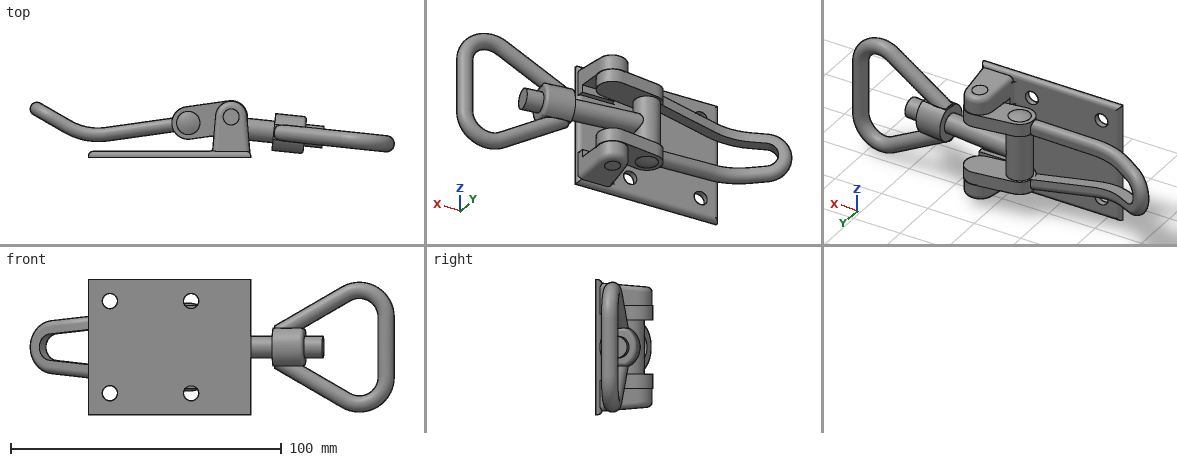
import cadquery as cq
import math

overall_length = 134.5
handle_tip_x = -21.5

plate_length = 60.0
plate_height = 50.0
plate_thickness = 2.4
plate_edge_radius = 1.9
hole_diameter = 5.5
hole_first_x = 8.0
hole_spacing_x = 30.0
hole_spacing_z = 34.0

pivot_x = 52.7
pivot_y = 15.0
pivot_radius = 3.0
ear_radius = 5.8
ear_side_taper = 5.0
ear_foot_z = 12.2
ear_step_y = 4.5
ear_outer_z = 23.8
ear_outer_draft = 4.8
ear_edge_radius = 2.0
ear_root_radius = 1.1

cheek_inner_z = 10.0
cheek_outer_z = 15.3
cheek_radius = 6.0
lever_tilt = 8.0
trunnion_distance = 16.0
bar_width = 5.0
bend_x = -1.1
bend_y = 7.7
bend_radius = 22.9
tip_tilt = 30.0
arm_splay = 6.5
tip_radius = 7.4
arm_end_x = 32.0

bolt_tilt = 6.0
trunnion_radius = 4.3
trunnion_dome_height = 1.0
barrel_radius = 5.1
bolt_radius = 4.0
bolt_length = 50.0

nut_start = 31.7
nut_length = 11.5
nut_side_z = 7.0
nut_side_half_width = 2.8
nut_crest_y = 6.9
nut_crest_half_width = 0.47
nut_corner_radius = 7.3
nut_edge_radius = 1.2

wire_diameter = 6.0
loop_corner_z = 11.0
loop_corner_radius = 10.0
loop_arm_angle = 30.0
loop_arm_start = 33.5

trunnion_x = pivot_x - trunnion_distance * math.cos(math.radians(lever_tilt))
trunnion_y = pivot_y - trunnion_distance * math.sin(math.radians(lever_tilt))

ear_base_y = plate_thickness - plate_edge_radius

loop_bar_x = handle_tip_x + overall_length - wire_diameter / 2
loop_bar_distance = (loop_bar_x - trunnion_x) / math.cos(math.radians(bolt_tilt))


def outside_ears():
    """Space beyond the drafted outer face of the upper ear."""
    ear_top_y = pivot_y + 2 * ear_radius
    draft = (ear_top_y - ear_base_y) * math.tan(math.radians(ear_outer_draft))
    return (
        cq.Workplane("YZ")
        .moveTo(ear_base_y, ear_outer_z)
        .lineTo(ear_top_y, ear_outer_z - draft)
        .lineTo(ear_top_y, plate_height)
        .lineTo(ear_base_y, plate_height)
        .close()
        .extrude(plate_length)
    )


def mirrored(half):
    """A shape together with its reflection in the XY plane."""
    return half.union(half.mirror("XY"))


def make_ear():
    taper = math.radians(ear_side_taper)
    tangent_x = ear_radius * math.cos(taper)
    tangent_y = pivot_y + ear_radius * math.sin(taper)
    base_half_width = tangent_x + (tangent_y - ear_base_y) * math.tan(taper)
    foot_half_width = tangent_x + (tangent_y - plate_thickness) * math.tan(taper)
    ear = (
        cq.Workplane("XY", origin=(pivot_x, 0, ear_foot_z))
        .moveTo(-base_half_width, ear_base_y)
        .lineTo(-tangent_x, tangent_y)
        .threePointArc((0, pivot_y + ear_radius), (tangent_x, tangent_y))
        .lineTo(base_half_width, ear_base_y)
        .close()
        .extrude(plate_height / 2 - ear_foot_z)
        .cut(outside_ears())
    )
    ear = ear.faces(">Z").edges("not <Y").fillet(ear_edge_radius)

    cheek_clearance = (
        cq.Workplane("XY", origin=(pivot_x, ear_step_y, ear_foot_z))
        .rect(4 * ear_radius, plate_height, centered=(True, False))
        .extrude(cheek_outer_z - ear_foot_z)
    )
    pivot_hole = (
        cq.Workplane("XY", origin=(pivot_x, pivot_y, 0)).circle(pivot_radius).extrude(plate_height)
    )
    root = make_ear_root(pivot_x - foot_half_width)
    return ear.cut(cheek_clearance).cut(pivot_hole).union(root)


def make_ear_root(foot_left_x):
    """Concave strip where the left side of the ear meets the plate."""
    r = ear_root_radius
    slope = r * math.tan(math.radians(ear_side_taper))
    mid = r * (1 - math.sqrt(0.5))
    return (
        cq.Workplane("XY", origin=(foot_left_x, plate_thickness, ear_foot_z))
        .lineTo(-r, 0)
        .threePointArc((-mid, mid), (slope, r))
        .close()
        .extrude(ear_outer_z - ear_edge_radius - ear_foot_z)
    )


def make_base():
    plate = (
        cq.Workplane("XY")
        .box(plate_length, plate_thickness, plate_height, centered=(False, False, True))
        .faces(">Y")
        .edges()
        .fillet(plate_edge_radius)
    )
    hole_center_x = hole_first_x + hole_spacing_x / 2
    holes = (
        cq.Workplane("XZ", origin=(hole_center_x, 0, 0))
        .rarray(hole_spacing_x, hole_spacing_z, 2, 2)
        .circle(hole_diameter / 2)
        .extrude(-plate_thickness)
    )
    return plate.cut(holes).union(mirrored(make_ear()))


def make_handle():
    """Half of the handle bar swept from the middle of its tip to the cheek, then mirrored."""
    tip_angle = math.radians(tip_tilt)
    arm_angle = math.radians(lever_tilt)
    splay = math.tan(math.radians(arm_splay))
    to_tip = cq.Vector(-math.cos(tip_angle), math.sin(tip_angle), 0)
    across = cq.Vector(0, 0, 1)

    tip_side = cq.Vector(to_tip.x, to_tip.y, to_tip.x * splay).normalized()
    arm_side = cq.Vector(1, math.tan(arm_angle), splay).normalized()

    side_angle = math.asin(-tip_side.z)
    tip_reach = (bend_x - handle_tip_x - bar_width / 2) / math.cos(tip_angle)
    center_distance = tip_reach - tip_radius
    bend_z = center_distance * math.tan(side_angle) + tip_radius / math.cos(side_angle)
    bend = cq.Vector(bend_x, bend_y, bend_z)
    tip_center = cq.Vector(bend_x, bend_y, 0) + to_tip * center_distance

    def on_tip(angle):
        return tip_center + (to_tip * math.cos(angle) + across * math.sin(angle)) * tip_radius

    tip_end_angle = math.pi / 2 - side_angle
    tip_start = on_tip(0)

    half_turn = tip_side.getAngle(arm_side) / 2
    tangent_length = bend_radius / math.tan(half_turn)
    bisector = (tip_side + arm_side).normalized()
    bend_depth = bend_radius / math.sin(half_turn) - bend_radius
    arm_length = (arm_end_x - bend_x) / arm_side.x

    path = cq.Wire.assembleEdges(
        [
            cq.Edge.makeThreePointArc(tip_start, on_tip(tip_end_angle / 2), on_tip(tip_end_angle)),
            cq.Edge.makeLine(on_tip(tip_end_angle), bend + tip_side * tangent_length),
            cq.Edge.makeThreePointArc(
                bend + tip_side * tangent_length,
                bend + bisector * bend_depth,
                bend + arm_side * tangent_length,
            ),
            cq.Edge.makeLine(bend + arm_side * tangent_length, bend + arm_side * arm_length),
        ]
    )
    w = bar_width / 2
    round_mid = w * math.sqrt(0.5)
    section = (
        cq.Workplane(cq.Plane(origin=tip_start.toTuple(), xDir=to_tip.toTuple(), normal=(0, 0, 1)))
        .moveTo(-w, -w)
        .lineTo(0, -w)
        .threePointArc((round_mid, -round_mid), (w, 0))
        .threePointArc((round_mid, round_mid), (0, w))
        .lineTo(-w, w)
        .close()
    )
    return mirrored(section.sweep(cq.Workplane(path)))


def make_lever():
    cheek_middle_x = (pivot_x + trunnion_x) / 2
    cheek_middle_y = (pivot_y + trunnion_y) / 2
    cheek = (
        cq.Workplane("XY", origin=(cheek_middle_x, cheek_middle_y, cheek_inner_z))
        .slot2D(trunnion_distance + 2 * cheek_radius, 2 * cheek_radius, lever_tilt)
        .extrude(cheek_outer_z - cheek_inner_z)
    )
    pivot_stub = (
        cq.Workplane("XY", origin=(pivot_x, pivot_y, cheek_inner_z))
        .circle(pivot_radius)
        .extrude(plate_height / 2 - cheek_inner_z)
        .cut(outside_ears())
    )
    trunnion_hole = (
        cq.Workplane("XY", origin=(trunnion_x, trunnion_y, 0))
        .circle(trunnion_radius)
        .extrude(plate_height / 2, both=True)
    )
    barrel_space = (
        cq.Workplane("XY", origin=(trunnion_x, trunnion_y, 0))
        .circle(barrel_radius)
        .extrude(cheek_inner_z, both=True)
    )
    lever = make_handle().union(mirrored(cheek.union(pivot_stub)))
    return lever.cut(trunnion_hole).cut(barrel_space)


def bolt_frame(distance):
    """Workplane square to the bolt axis; its local X runs along Z."""
    tilt = math.radians(bolt_tilt)
    axis = cq.Vector(math.cos(tilt), -math.sin(tilt), 0)
    origin = cq.Vector(trunnion_x, trunnion_y, 0) + axis * distance
    return cq.Workplane(cq.Plane(origin=origin.toTuple(), xDir=(0, 0, 1), normal=axis.toTuple()))


def make_bolt():
    dome_top_z = cheek_outer_z + trunnion_dome_height
    dome_sphere_radius = (trunnion_radius**2 + trunnion_dome_height**2) / (2 * trunnion_dome_height)
    angle = math.asin(trunnion_radius / dome_sphere_radius) / 2
    dome_mid_x = dome_sphere_radius * math.sin(angle)
    dome_mid_z = dome_top_z - dome_sphere_radius * (1 - math.cos(angle))
    crosspiece = (
        cq.Workplane("XZ", origin=(trunnion_x, trunnion_y, 0))
        .moveTo(0, -dome_top_z)
        .threePointArc((dome_mid_x, -dome_mid_z), (trunnion_radius, -cheek_outer_z))
        .lineTo(trunnion_radius, -cheek_inner_z)
        .lineTo(barrel_radius, -cheek_inner_z)
        .lineTo(barrel_radius, cheek_inner_z)
        .lineTo(trunnion_radius, cheek_inner_z)
        .lineTo(trunnion_radius, cheek_outer_z)
        .threePointArc((dome_mid_x, dome_mid_z), (0, dome_top_z))
        .close()
        .revolve(360, (0, 0), (0, 1))
    )
    shank = bolt_frame(0).circle(bolt_radius).extrude(bolt_length)
    return crosspiece.union(shank)


def make_nut_blank():
    """Barrel-sided nut: flat where the loop joins it, with a narrow flat along each crest."""
    corner = nut_corner_radius * math.sqrt(0.5)
    return (
        bolt_frame(nut_start)
        .moveTo(nut_side_z, -nut_side_half_width)
        .lineTo(nut_side_z, nut_side_half_width)
        .threePointArc((corner, corner), (nut_crest_half_width, nut_crest_y))
        .lineTo(-nut_crest_half_width, nut_crest_y)
        .threePointArc((-corner, corner), (-nut_side_z, nut_side_half_width))
        .lineTo(-nut_side_z, -nut_side_half_width)
        .threePointArc((-corner, -corner), (-nut_crest_half_width, -nut_crest_y))
        .lineTo(nut_crest_half_width, -nut_crest_y)
        .threePointArc((corner, -corner), (nut_side_z, -nut_side_half_width))
        .close()
        .extrude(nut_length)
        .faces(">X")
        .edges()
        .fillet(nut_edge_radius)
    )


def make_nut():
    bore = bolt_frame(nut_start).circle(bolt_radius).extrude(nut_length)
    return make_nut_blank().cut(bore)


def make_loop():
    """Round wire bent to a triangle, its two ends butting against the nut."""
    tilt = math.radians(bolt_tilt)
    plane = cq.Plane(
        origin=(trunnion_x, trunnion_y, 0),
        xDir=(math.cos(tilt), -math.sin(tilt), 0),
        normal=(-math.sin(tilt), -math.cos(tilt), 0),
    )
    arm_angle = math.radians(loop_arm_angle)
    corner_x = loop_bar_distance - loop_corner_radius

    def on_corner(angle):
        return (
            corner_x + loop_corner_radius * math.cos(angle),
            loop_corner_z + loop_corner_radius * math.sin(angle),
        )

    arm_end_angle = math.pi / 2 + arm_angle
    arm_end_x, arm_end_z = on_corner(arm_end_angle)
    mid_x, mid_z = on_corner(arm_end_angle / 2)
    start_z = arm_end_z - (arm_end_x - loop_arm_start) * math.tan(arm_angle)
    path = (
        cq.Workplane(plane)
        .moveTo(loop_arm_start, start_z)
        .lineTo(arm_end_x, arm_end_z)
        .threePointArc((mid_x, mid_z), (loop_bar_distance, loop_corner_z))
        .lineTo(loop_bar_distance, -loop_corner_z)
        .threePointArc((mid_x, -mid_z), (arm_end_x, -arm_end_z))
        .lineTo(loop_arm_start, -start_z)
    )
    start = plane.toWorldCoords((loop_arm_start, start_z))
    direction = plane.toWorldCoords((arm_end_x, arm_end_z)) - start
    section = cq.Workplane(
        cq.Plane(origin=start.toTuple(), xDir=plane.zDir.toTuple(), normal=direction.toTuple())
    ).circle(wire_diameter / 2)
    return section.sweep(path).cut(make_nut_blank())


base = make_base()
lever = make_lever()
bolt = make_bolt()
nut = make_nut()
loop = make_loop()

result = cq.Compound.makeCompound([base.val(), lever.val(), bolt.val(), nut.val(), loop.val()])